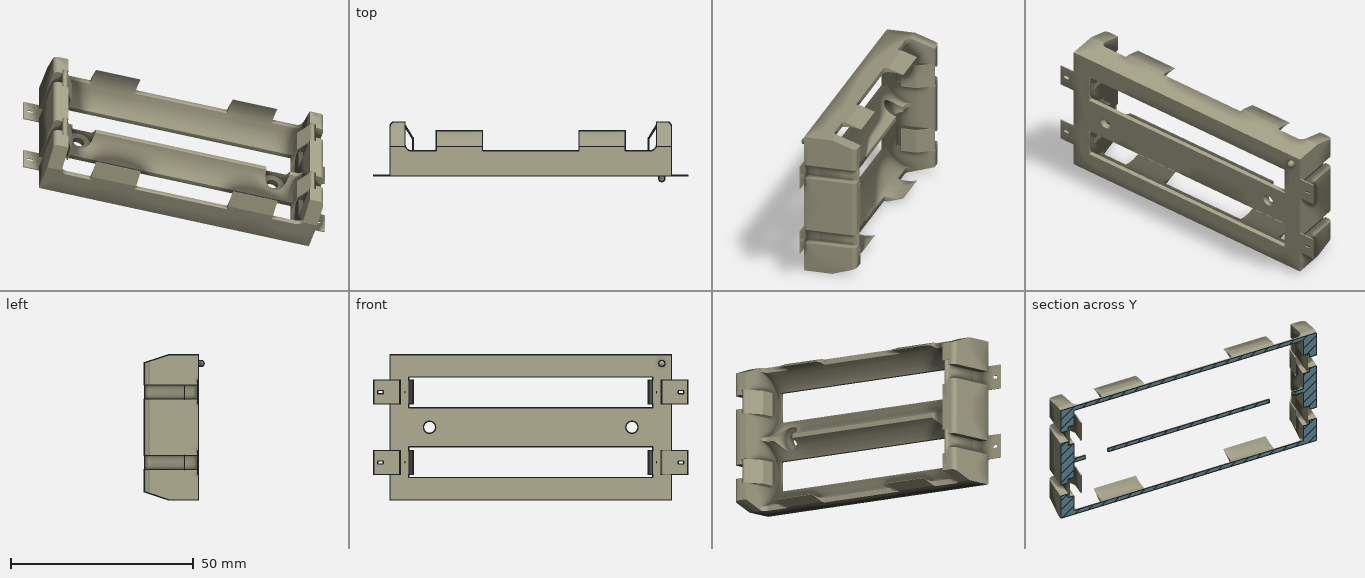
import cadquery as cq
import math


HOUSING_LENGTH = 77.05
HOUSING_HEIGHT = 39.8
WALL_TOP = 14.9
WALL_THICKNESS = 4.1
WALL_EDGE_RADIUS = 1.3
RIM_LEVEL = 7.0
RIM_FILLET = 1.7
TAPER_START = 8.1
TAPER_INSET = 2.2
HALF_LENGTH = HOUSING_LENGTH / 2
HALF_HEIGHT = HOUSING_HEIGHT / 2
WALL_FACE = HALF_LENGTH - WALL_THICKNESS

CELL_OFFSET = 9.55
CELL_RADIUS = 9.3
CELL_AXIS_Y = 9.55
WINDOW_LENGTH = 66.65
WINDOW_HEIGHT = 8.3

ARM_TOP = 12.5
ARM_LENGTH = 12.7
ARM_OFFSET = 19.5

HOLE_DIAMETER = 3.3
HOLE_OFFSET = 27.7
COUNTERBORE_DIAMETER = 6.7
COUNTERBORE_FLOOR = 1.7
PEG_RADIUS = 0.9
PEG_LENGTH = 1.55
PEG_X = 35.9
PEG_Z = 17.5

STRIP = 0.3
CONTACT_WIDTH = 6.6
TAB_END = 43.0
UPRIGHT_OUTER = 35.95
CREST_RADIUS = 0.7
CREST_AXIS_Y = 14.1
SPRING_FACE = 32.1
SPRING_BEND_Y = 10.3
SPRING_END = 6.0
CONTACT_OFFSET = 9.6
TAB_HOLE_LENGTH = 1.5
TAB_HOLE_HEIGHT = 0.8
TAB_HOLE_INSET = 1.9

SLOT_WIDTH = 3.9
SLOT_DEPTH = 2.3
SEAT_FLOOR = 3.9

SIDES = (-1, 1)


def block(x_range, y_range, z_range):
    """A box that fills the three (low, high) ranges."""
    low, high = zip(x_range, y_range, z_range)
    size = [b - a for a, b in zip(low, high)]
    return cq.Workplane("XY").box(*size, centered=False).translate(low)


def around(middle, width):
    """The (low, high) range of a width centred on `middle`."""
    return (middle - width / 2, middle + width / 2)



def tapered_bar():
    """The YZ outline with its leaning long sides, extruded over the whole length."""
    top_half = HALF_HEIGHT - TAPER_INSET
    return (
        cq.Workplane("YZ", origin=(-HALF_LENGTH, 0, 0))
        .moveTo(0, -HALF_HEIGHT)
        .lineTo(TAPER_START, -HALF_HEIGHT)
        .lineTo(WALL_TOP, -top_half)
        .lineTo(WALL_TOP, top_half)
        .lineTo(TAPER_START, HALF_HEIGHT)
        .lineTo(0, HALF_HEIGHT)
        .close()
        .extrude(HOUSING_LENGTH)
        .edges("|Z and >Y")
        .fillet(WALL_EDGE_RADIUS)
    )


def gap_between_walls():
    """The space above the rim, leaving the arms on the long sides."""
    above_rim = (RIM_LEVEL, WALL_TOP)
    gap = block(around(0, 2 * WALL_FACE), above_rim, around(0, HOUSING_HEIGHT))
    gap = gap.edges("|Z and <Y").fillet(RIM_FILLET)
    for end in SIDES:
        for side in SIDES:
            arm_z = sorted((side * CELL_OFFSET, side * HALF_HEIGHT))
            arm = block(around(end * ARM_OFFSET, ARM_LENGTH), (RIM_LEVEL, ARM_TOP), arm_z)
            gap = gap.cut(arm)
    return gap


def trough(cell_z):
    """The cylindrical bed of one cell and the window in its bottom."""
    bed = (
        cq.Workplane("YZ", origin=(-WALL_FACE, CELL_AXIS_Y, cell_z))
        .circle(CELL_RADIUS)
        .extrude(2 * WALL_FACE)
    )
    window = block(around(0, WINDOW_LENGTH), (0, CELL_AXIS_Y), around(cell_z, WINDOW_HEIGHT))
    return bed.union(window)


def screw_hole(x):
    """A through hole with a counterbore from the open side."""
    hole = cq.Workplane("XZ", origin=(x, 0, 0)).circle(HOLE_DIAMETER / 2).extrude(-WALL_TOP)
    head = (
        cq.Workplane("XZ", origin=(x, COUNTERBORE_FLOOR, 0))
        .circle(COUNTERBORE_DIAMETER / 2)
        .extrude(-WALL_TOP)
    )
    return hole.union(head)


def peg():
    """The round locating peg with a domed end, standing out of the mounting face."""
    stem_length = PEG_LENGTH - PEG_RADIUS
    stem = cq.Workplane("XZ", origin=(PEG_X, 0, PEG_Z)).circle(PEG_RADIUS).extrude(stem_length)
    dome = cq.Workplane("XY").sphere(PEG_RADIUS).translate((PEG_X, -stem_length, PEG_Z))
    return stem.union(dome)



def at_seat(shape, end, side):
    """Moves a shape made for the +X end on Z = 0 to the end and side given by two signs."""
    if end < 0:
        shape = shape.mirror("YZ")
    return shape.translate((0, 0, side * CONTACT_OFFSET))


def contact():
    """A bent strip: tab, upright, crest over the top and sprung leg."""
    upright_inner = UPRIGHT_OUTER - STRIP
    spring_back = SPRING_FACE + STRIP
    crest_x = UPRIGHT_OUTER - CREST_RADIUS

    run = crest_x - SPRING_FACE
    drop = CREST_AXIS_Y - SPRING_BEND_Y
    touch_angle = math.pi + math.atan2(drop, run) - math.acos(CREST_RADIUS / math.hypot(run, drop))
    inner_bend_y = SPRING_BEND_Y - STRIP * (1 + math.cos(touch_angle)) / math.sin(touch_angle)

    def on_arc(x, y, radius, angle):
        return (x + radius * math.cos(angle), y + radius * math.sin(angle))

    def on_crest(radius, angle):
        return on_arc(crest_x, CREST_AXIS_Y, radius, angle)

    crest_inner = CREST_RADIUS - STRIP
    tab_bend_middle = on_arc(UPRIGHT_OUTER, STRIP, STRIP, math.radians(225))
    strip = (
        cq.Workplane("XY", origin=(0, 0, -CONTACT_WIDTH / 2))
        .moveTo(TAB_END, 0)
        .lineTo(UPRIGHT_OUTER, 0)
        .threePointArc(tab_bend_middle, (upright_inner, STRIP))
        .lineTo(upright_inner, CREST_AXIS_Y)
        .threePointArc(on_crest(crest_inner, touch_angle / 2), on_crest(crest_inner, touch_angle))
        .lineTo(spring_back, inner_bend_y)
        .lineTo(spring_back, SPRING_END)
        .lineTo(SPRING_FACE, SPRING_END)
        .lineTo(SPRING_FACE, SPRING_BEND_Y)
        .lineTo(*on_crest(CREST_RADIUS, touch_angle))
        .threePointArc(on_crest(CREST_RADIUS, touch_angle / 2), (UPRIGHT_OUTER, CREST_AXIS_Y))
        .lineTo(UPRIGHT_OUTER, STRIP)
        .lineTo(TAB_END, STRIP)
        .close()
        .extrude(CONTACT_WIDTH)
    )
    tab_hole = block(
        around(TAB_END - TAB_HOLE_INSET, TAB_HOLE_LENGTH), (0, STRIP), around(0, TAB_HOLE_HEIGHT)
    )
    return strip.cut(tab_hole)


def contact_seat():
    """Outer slot, inner pocket, slit through the base and shallow recess for the tab."""
    slot_floor = HALF_LENGTH - SLOT_DEPTH
    upright_inner = UPRIGHT_OUTER - STRIP
    wide = around(0, CONTACT_WIDTH)
    slot = block((slot_floor, HALF_LENGTH), (0, WALL_TOP), around(0, SLOT_WIDTH))
    pocket = block((WALL_FACE, slot_floor), (SEAT_FLOOR, WALL_TOP), wide)
    slit = block((upright_inner, UPRIGHT_OUTER), (STRIP, SEAT_FLOOR), wide)
    recess = block((upright_inner, HALF_LENGTH), (0, STRIP), wide)
    return slot.union(pocket).union(slit).union(recess)



FIXED_SEAT = (1, -1)
SEATS = [(end, side) for end in SIDES for side in SIDES]

housing = tapered_bar().cut(gap_between_walls())
for sign in SIDES:
    housing = housing.cut(trough(sign * CELL_OFFSET))
    housing = housing.cut(screw_hole(sign * HOLE_OFFSET))
for end, side in SEATS:
    housing = housing.cut(at_seat(contact_seat(), end, side))
housing = housing.union(peg())
housing = housing.union(at_seat(contact(), *FIXED_SEAT), clean=False)

contacts = [at_seat(contact(), *seat) for seat in SEATS if seat != FIXED_SEAT]

result = cq.Compound.makeCompound([housing.val()] + [strip.val() for strip in contacts])